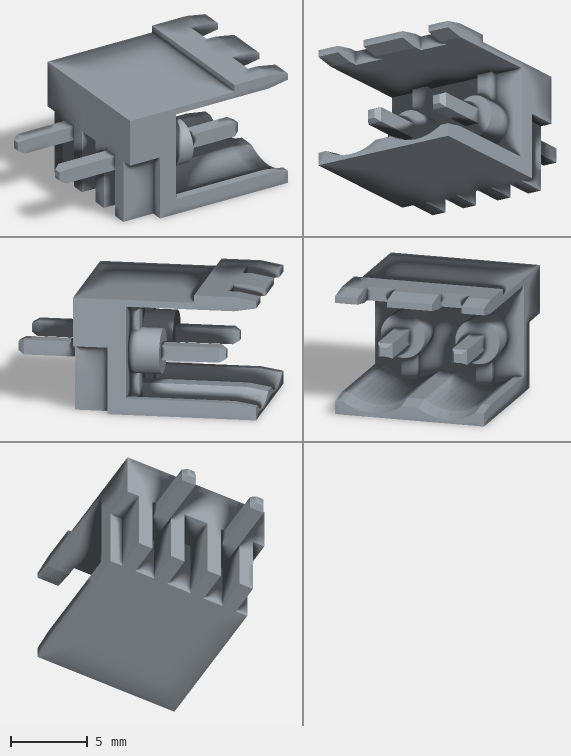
import cadquery as cq
import math


pitch = 5.08
pin_count = 2
width = pin_count * pitch
pin_positions = [(i - (pin_count - 1) / 2) * pitch for i in range(pin_count)]
axis_height = 3.75

depth = 12.1
total_height = 8.2
roof_height = 7.7
upper_arm_underside = 7.25
lower_arm_top = 1.1
wall_thickness = 3.5
lip_start = 8.0
taper_start = 10.65
lip_tip_top = 7.95
lip_tip_underside = 7.5
lower_tip_top = 0.87

recess_depth = 2.3
recess_height = 4.45
leg_width = 1.0
pin_recess_width = 1.39

notch_width = 2.0
notch_length = 2.1
trough_half_width = 1.95

collar_radius = 1.5
collar_end = 5.5
rib_width = 1.1
rib_end = 4.05

pin_size = 1.0
pin_rear = -4.0
pin_front = 9.7
pin_tip_length = 0.4
pin_tip_width = 0.5
pin_tip_height = 0.6


def box(x_min, x_max, y_min, y_max, z_min, z_max):
    size = (x_max - x_min, y_max - y_min, z_max - z_min)
    return cq.Workplane("XY").box(*size, centered=False).translate((x_min, y_min, z_min))


def centred_box(x, box_width, y_min, y_max, z_min, z_max):
    return box(x - box_width / 2, x + box_width / 2, y_min, y_max, z_min, z_max)


def make_housing():
    """C-shaped side profile extruded across the whole width."""
    profile = [
        (0, 0),
        (depth, 0),
        (depth, lower_tip_top),
        (taper_start, lower_arm_top),
        (wall_thickness, lower_arm_top),
        (wall_thickness, upper_arm_underside),
        (taper_start, upper_arm_underside),
        (depth, lip_tip_underside),
        (depth, lip_tip_top),
        (taper_start, total_height),
        (lip_start, total_height),
        (lip_start, roof_height),
        (0, roof_height),
    ]
    return cq.Workplane("YZ").polyline(profile).close().extrude(width / 2, both=True)


def make_recess(x, recess_width):
    """Vertical recess in the mounting face, open at the underside."""
    return centred_box(x, recess_width, 0, recess_depth, 0, recess_height)


def make_recesses():
    """Recesses at the contacts and between them, leaving a leg on each side of every contact."""
    between_width = pitch - pin_recess_width - 2 * leg_width
    recesses = make_recess(-width / 2, between_width)
    for x in pin_positions:
        recesses = recesses.union(make_recess(x, pin_recess_width))
        recesses = recesses.union(make_recess(x + pitch / 2, between_width))
    return recesses


def make_notch(x):
    """Rectangular notch through the tip of the upper arm."""
    return centred_box(x, notch_width, depth - notch_length, depth, upper_arm_underside, total_height)


def make_trough(x):
    """Round trough about the contact axis, flaring along the tapered tip at constant width."""
    radius = math.hypot(trough_half_width, axis_height - lower_arm_top)
    tip_radius = math.hypot(trough_half_width, axis_height - lower_tip_top)
    profile = [
        (0, wall_thickness),
        (radius, wall_thickness),
        (radius, taper_start),
        (tip_radius, depth),
        (0, depth),
    ]
    trough = cq.Workplane("XY").polyline(profile).close().revolve(360, (0, 0, 0), (0, 1, 0))
    return trough.translate((x, 0, axis_height))


def make_collar(x):
    """Round collar around the contact, rooted in the wall."""
    collar = cq.Workplane("XZ").circle(collar_radius).extrude(-(collar_end - recess_depth))
    return collar.translate((x, recess_depth, axis_height))


def make_rib(x):
    """Shallow upright rib on the inner wall, rooted in the lower arm and reaching the upper arm."""
    return centred_box(x, rib_width, recess_depth, rib_end, 0, upper_arm_underside)


def make_pin_tip(x, y_base, direction):
    """Tapered pin end running along Y; direction is +1 or -1."""
    plane = cq.Plane(origin=(x, y_base, axis_height), xDir=(1, 0, 0), normal=(0, direction, 0))
    base = cq.Workplane(plane).rect(pin_size, pin_size)
    return base.workplane(offset=pin_tip_length).rect(pin_tip_width, pin_tip_height).loft()


def make_pin(x):
    """Square pin with a tapered tip at both ends."""
    shank_rear = pin_rear + pin_tip_length
    shank_front = pin_front - pin_tip_length
    z_min = axis_height - pin_size / 2
    shank = centred_box(x, pin_size, shank_rear, shank_front, z_min, z_min + pin_size)
    return shank.union(make_pin_tip(x, shank_rear, -1)).union(make_pin_tip(x, shank_front, 1))


result = make_housing().cut(make_recesses())
for pin_x in pin_positions:
    result = result.cut(make_notch(pin_x)).cut(make_trough(pin_x))
    result = result.union(make_rib(pin_x)).union(make_collar(pin_x)).union(make_pin(pin_x))